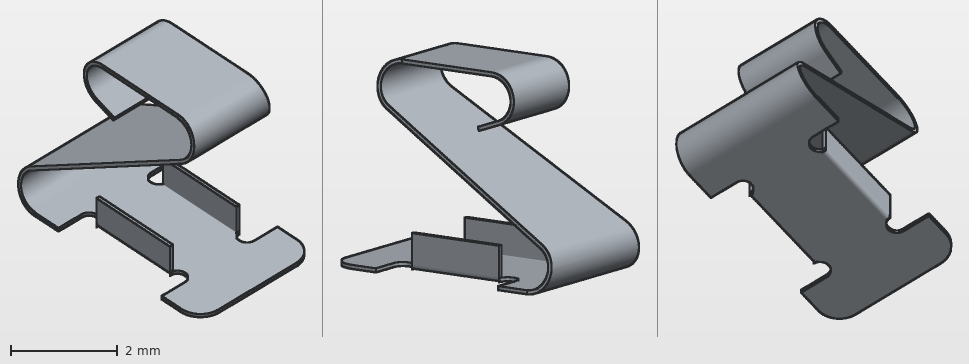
import cadquery as cq
import math

length = 5.0
width = 3.0
height = 4.0
thickness = 0.08

bend_radius = 0.51
slope_angle = 30.0
strip_width = 1.8
curl_left = 1.23
lip_angle = 20.0
lip_length = 0.495

corner_radius = 0.5
tab_center_x = 2.57
tab_length = 2.0
tab_height = 0.7
tab_face_y = 0.9
tab_bend_inner = 0.01
relief_width = 0.4

inner_radius = bend_radius - thickness
slope = math.radians(slope_angle)
lip = math.radians(lip_angle)

low_center = (bend_radius, bend_radius)
high_z = height - bend_radius
center_offset = 2 * bend_radius - thickness
run = ((high_z - bend_radius) * math.cos(slope) - center_offset) / math.sin(slope)
high_center = (bend_radius + run, high_z)
curl_center = (curl_left + bend_radius, high_z)


def polar(center, radius, angle):
    """Point at an angle (radians, from +X) on a circle."""
    return (center[0] + radius * math.cos(angle), center[1] + radius * math.sin(angle))


def extrude_across(profile, across):
    """Extrude an XZ profile symmetrically about the centre plane."""
    return profile.extrude(across / 2, both=True)


def bend(center, start, end, across):
    """Curved band of sheet between two angles."""
    middle = (start + end) / 2
    profile = (
        cq.Workplane("XZ")
        .moveTo(*polar(center, bend_radius, start))
        .threePointArc(polar(center, bend_radius, middle), polar(center, bend_radius, end))
        .lineTo(*polar(center, inner_radius, end))
        .threePointArc(polar(center, inner_radius, middle), polar(center, inner_radius, start))
        .close()
    )
    return extrude_across(profile, across)


def flat(corners, across):
    """Straight stretch of sheet."""
    return extrude_across(cq.Workplane("XZ").polyline(corners).close(), across)


def make_arm():
    """Lower bend, long arm and upper bend, tapered evenly with height."""
    normal = slope + math.pi / 2
    arm = flat(
        [
            polar(low_center, bend_radius, normal),
            polar(low_center, inner_radius, normal),
            polar(high_center, bend_radius, normal - math.pi),
            polar(high_center, inner_radius, normal - math.pi),
        ],
        width,
    )
    arm = arm.union(bend(low_center, normal, 1.5 * math.pi, width))
    arm = arm.union(bend(high_center, normal - math.pi, math.pi / 2, width))
    taper = (
        cq.Workplane("YZ")
        .polyline([
            (-width / 2, 0),
            (width / 2, 0),
            (strip_width / 2, height),
            (-strip_width / 2, height),
        ])
        .close()
        .extrude(length)
    )
    return arm.intersect(taper)


def make_hook():
    """Flat top, curl and inclined free lip."""
    top = flat(
        [
            (curl_center[0], height),
            (high_center[0], height),
            (high_center[0], height - thickness),
            (curl_center[0], height - thickness),
        ],
        strip_width,
    )
    lip_normal = 1.5 * math.pi - lip
    outer = polar(curl_center, bend_radius, lip_normal)
    inner = polar(curl_center, inner_radius, lip_normal)
    free_end = flat(
        [outer, inner, polar(inner, lip_length, -lip), polar(outer, lip_length, -lip)],
        strip_width,
    )
    return top.union(bend(curl_center, math.pi / 2, lip_normal, strip_width)).union(free_end)


def make_base():
    """Base plate with rounded far corners, notched at both sides for the tabs."""
    base = (
        cq.Workplane("XY")
        .rect(length - bend_radius, width)
        .extrude(thickness)
        .translate(((length + bend_radius) / 2, 0, 0))
        .edges("|Z and >X")
        .fillet(corner_radius)
    )
    notch_length = tab_length + 2 * relief_width
    bend_line_y = tab_face_y - thickness - tab_bend_inner
    relief_offset = (tab_length + relief_width) / 2
    for side in (-1, 1):
        opening = cq.Workplane("XY").box(
            notch_length, width / 2 - tab_face_y, thickness, centered=(True, True, False)
        ).translate((tab_center_x, side * (width / 2 + tab_face_y) / 2, 0))
        setback = cq.Workplane("XY").box(
            tab_length, tab_face_y - bend_line_y, thickness, centered=(True, True, False)
        ).translate((tab_center_x, side * (tab_face_y + bend_line_y) / 2, 0))
        reliefs = (
            cq.Workplane("XY")
            .pushPoints([
                (tab_center_x - relief_offset, side * tab_face_y),
                (tab_center_x + relief_offset, side * tab_face_y),
            ])
            .circle(relief_width / 2)
            .extrude(thickness)
        )
        base = base.cut(opening).cut(setback).cut(reliefs)
    return base


def make_tab():
    """Upright tab on the +Y side with its bend."""
    outer_radius = tab_bend_inner + thickness
    center = (tab_face_y - outer_radius, outer_radius)
    diagonal = -math.pi / 4
    return (
        cq.Workplane("YZ")
        .moveTo(center[0], 0)
        .threePointArc(polar(center, outer_radius, diagonal), (tab_face_y, outer_radius))
        .lineTo(tab_face_y, tab_height)
        .lineTo(tab_face_y - thickness, tab_height)
        .lineTo(tab_face_y - thickness, outer_radius)
        .threePointArc(polar(center, tab_bend_inner, diagonal), (center[0], thickness))
        .close()
        .extrude(tab_length / 2, both=True)
        .translate((tab_center_x, 0, 0))
    )


tab = make_tab()
result = make_base().union(tab).union(tab.mirror("XZ")).union(make_arm()).union(make_hook())